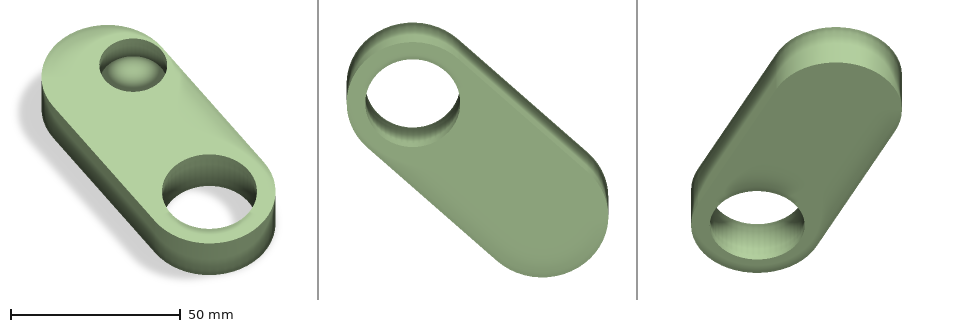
import cadquery as cq

length = 91.5
width = 39.0
thickness = 15.0
end_center_x = (length - width) / 2

bore_diameter = 28.0

pocket_diameter = 20.0
pocket_x = -25.5
pocket_y = 8.7
pocket_depth = 8.4


def make_body():
    return cq.Workplane("XY").slot2D(length, width).extrude(thickness)


def make_bore():
    return cq.Workplane("XY").center(end_center_x, 0).circle(bore_diameter / 2).extrude(thickness)


def make_pocket():
    floor = cq.Workplane("XY").workplane(offset=thickness - pocket_depth)
    return floor.center(pocket_x, pocket_y).circle(pocket_diameter / 2).extrude(pocket_depth)


result = make_body().cut(make_bore()).cut(make_pocket())